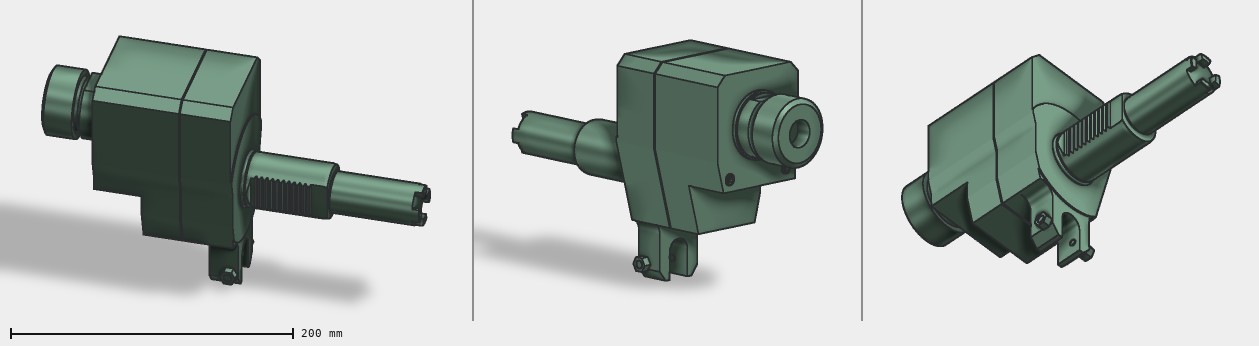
import cadquery as cq
import math


OVERALL_LENGTH = 274.71

BODY_RIGHT = -1.0
BODY_LENGTH = 101.0
BODY_LEFT = BODY_RIGHT - BODY_LENGTH
BODY_HALF_WIDTH = 40.0
BODY_TOP = 82.0
BODY_BOTTOM = -39.5
TOP_CHAMFER = 7.4
TAPER_TOP = 20.0
TAPER_ANGLE = 14.7
FLANK_HALF_WIDTH = 37.0
FLANK_BOTTOM = -18.2
TAPER_SLOPE = math.tan(math.radians(TAPER_ANGLE))
FLANK_TOP = TAPER_TOP - (BODY_HALF_WIDTH - FLANK_HALF_WIDTH) / TAPER_SLOPE
BOTTOM_FAR_Y = BODY_HALF_WIDTH - (TAPER_TOP - BODY_BOTTOM) * TAPER_SLOPE
BOTTOM_NEAR_Y = -FLANK_HALF_WIDTH + (FLANK_BOTTOM - BODY_BOTTOM) * TAPER_SLOPE
FLANK_FILLET = 9.0
STEP_LENGTH = 35.0
STEP_BOTTOM = -3.0
JOINT_X = -38.4
JOINT_WIDTH = 0.8

DISC_RADIUS = 46.0

FORK_THICKNESS = 21.2
FORK_BOTTOM = -82.0
FORK_HALF_WIDTH = 18.7
FORK_FILLET = 10.0
FORK_FILLET_DROP = 7.5
FORK_TIP_WIDTH = 6.0
FORK_TIP_HEIGHT = 7.5
FORK_SLOT_RADIUS = 8.8
FORK_SLOT_TOP = -53.2

BOLT_X = -7.3
BOLT_Z = -70.7
BOLT_HEX_FLATS = 10.0
BOLT_HEAD_END = 24.7
BOLT_STUD_RADIUS = 2.5
BOLT_STUD_END = 8.0
BOLT_RECESS_RADIUS = 2.9
BOLT_RECESS_DEPTH = 0.5

SCREW_Y = 27.8
SCREW_Z = 5.9
SCREW_HEAD_RADIUS = 4.25
SCREW_HEAD_HEIGHT = 0.8
SCREW_HEAD_CHAMFER = 0.7
SCREW_SOCKET_FLATS = 3.8
SCREW_SOCKET_DEPTH = 2.5

SPINDLE_Z = 41.5
NUT_OVERHANG = 42.2
NUT_FACE = BODY_LEFT - NUT_OVERHANG
NUT_RADIUS = 25.0
NUT_FACE_RADIUS = 21.2
NUT_CHAMFER_LENGTH = 2.2
NUT_LENGTH = 22.7
NECK_RADIUS = 19.0
NECK_CONE_RADIUS = 20.8
NECK_CONE_END = 25.2
COLLAR_START = 28.1
COLLAR_RADIUS = 23.5
COLLAR_END = 39.2
FLAT_END = 37.1
FLAT_HALF_WIDTH = 20.6
BORE_RADIUS = 10.0
BORE_DEPTH = 12.0

SHANK_RADIUS = 20.0
SHANK_LENGTH = 63.0
SHANK_CHAMFER_LENGTH = 2.8
SHANK_CHAMFER_HEIGHT = 0.5
SEAL_GROOVE_RADIUS = 19.4
SEAL_GROOVE_END = 4.0
SEAL_X = 1.5
SEAL_CENTER_RADIUS = SEAL_GROOVE_RADIUS
SEAL_SECTION_RADIUS = 1.5

CREST_Y = -16.0
ROOT_Y = -14.75
CREST_START = 7.4
RUNOUT_START = 5.2
RUNOUT_BULGE = 0.5
FIRST_ROOT_X = 11.2
TOOTH_PITCH = 4.0
TOOTH_COUNT = 10
ROOT_WIDTH = 0.3
CREST_WIDTH = 1.3
ROOT_FLAT_START = 51.3

TAIL_START = 64.4
TAIL_END = NUT_FACE + OVERALL_LENGTH
TAIL_RADIUS = 15.0
TAIL_NECK_RADIUS = 13.0
TAIL_CHAMFER = 0.5
DOG_LENGTH = 5.5
DOG_INNER_RADIUS = 10.0
DOG_HALF_ANGLE = 20.0
DOG_COUNT = 4


def prism(points, x_start, x_end):
    """Extrude a closed (y, z) outline along X."""
    return cq.Workplane("YZ", origin=(x_start, 0, 0)).polyline(points).close().extrude(x_end - x_start)


def rod(radius, x_start, x_end, y=0, z=0):
    """Cylinder along X."""
    return cq.Workplane("YZ", origin=(x_start, y, z)).circle(radius).extrude(x_end - x_start)


def turned(points, z=0):
    """Revolve an (x, radius) outline about the line Y = 0 at height z, parallel to X."""
    profile = cq.Workplane("XY", origin=(0, 0, z)).polyline(points).close()
    return profile.revolve(360, (0, 0, 0), (1, 0, 0))


def body_outline(inset=0):
    """(y, z) outline of the housing; the -Y flank turns vertical below its upper taper."""
    side = BODY_HALF_WIDTH - inset
    flank = FLANK_HALF_WIDTH - inset
    shoulder = BODY_HALF_WIDTH - TOP_CHAMFER
    top = BODY_TOP - inset
    bottom = BODY_BOTTOM + inset
    shoulder_z = BODY_TOP - TOP_CHAMFER
    return [
        (-shoulder, top),
        (shoulder, top),
        (side, shoulder_z),
        (side, TAPER_TOP),
        (BOTTOM_FAR_Y - inset, bottom),
        (BOTTOM_NEAR_Y + inset, bottom),
        (-flank, FLANK_BOTTOM),
        (-flank, FLANK_TOP),
        (-side, TAPER_TOP),
        (-side, shoulder_z),
    ]


def body_prism(x_start, x_end, inset=0):
    """Length of housing with the corner between -Y taper and flank rounded."""
    corner = cq.selectors.NearestToPointSelector(
        ((x_start + x_end) / 2, inset - FLANK_HALF_WIDTH, FLANK_TOP)
    )
    return prism(body_outline(inset), x_start, x_end).edges(corner).fillet(FLANK_FILLET)


def housing():
    """Stepped housing with a shallow groove at the joint between its two halves."""
    half_joint = JOINT_WIDTH / 2
    body = body_prism(BODY_LEFT, JOINT_X - half_joint)
    body = body.union(body_prism(JOINT_X - half_joint, JOINT_X + half_joint, half_joint))
    body = body.union(body_prism(JOINT_X + half_joint, BODY_RIGHT))
    step_height = STEP_BOTTOM - BODY_BOTTOM
    step = cq.Workplane("XY").box(
        STEP_LENGTH, 2 * BODY_HALF_WIDTH, step_height, centered=(False, True, False)
    )
    return body.cut(step.translate((BODY_LEFT, 0, BODY_BOTTOM)))


def fork(x_start, x_end):
    """Slotted plate with concave shoulders; the +Y shoulder is cut short by the housing."""
    tip = FORK_HALF_WIDTH - FORK_TIP_WIDTH
    tip_top = FORK_BOTTOM + FORK_TIP_HEIGHT
    diagonal = FORK_FILLET * math.sqrt(0.5)

    near_y = -FORK_HALF_WIDTH - FORK_FILLET
    near_z = BODY_BOTTOM - FORK_FILLET

    far_y = FORK_HALF_WIDTH + FORK_FILLET
    far_z = BODY_BOTTOM - FORK_FILLET_DROP
    far_top_angle = math.asin(FORK_FILLET_DROP / FORK_FILLET)
    far_mid_angle = far_top_angle / 2

    def far_point(angle):
        return far_y - FORK_FILLET * math.cos(angle), far_z + FORK_FILLET * math.sin(angle)

    plate = (
        cq.Workplane("YZ", origin=(x_start, 0, 0))
        .moveTo(near_y, BODY_BOTTOM)
        .threePointArc((near_y + diagonal, near_z + diagonal), (-FORK_HALF_WIDTH, near_z))
        .lineTo(-FORK_HALF_WIDTH, tip_top)
        .lineTo(-tip, FORK_BOTTOM)
        .lineTo(tip, FORK_BOTTOM)
        .lineTo(FORK_HALF_WIDTH, tip_top)
        .lineTo(FORK_HALF_WIDTH, far_z)
        .threePointArc(far_point(far_mid_angle), far_point(far_top_angle))
        .lineTo(far_point(far_top_angle)[0], FLANK_BOTTOM)
        .lineTo(near_y, FLANK_BOTTOM)
        .close()
        .extrude(x_end - x_start)
    )
    slot_center = FORK_SLOT_TOP - FORK_SLOT_RADIUS
    slot = rod(FORK_SLOT_RADIUS, x_start, x_end, 0, slot_center)
    slot = slot.union(
        prism(
            [
                (-FORK_SLOT_RADIUS, slot_center),
                (FORK_SLOT_RADIUS, slot_center),
                (FORK_SLOT_RADIUS, FORK_BOTTOM),
                (-FORK_SLOT_RADIUS, FORK_BOTTOM),
            ],
            x_start,
            x_end,
        )
    )
    return plate.cut(slot).intersect(below_flanks(x_start, x_end))


def below_flanks(x_start, x_end):
    """Keep-zone that holds the fork plate inside the housing flanks."""
    corners = [
        (BOTTOM_NEAR_Y, FLANK_BOTTOM),
        (BOTTOM_FAR_Y, FLANK_BOTTOM),
        (BOTTOM_FAR_Y, FORK_BOTTOM),
        (BOTTOM_NEAR_Y, FORK_BOTTOM),
    ]
    return prism(corners, x_start, x_end)


def fork_bolt():
    """Hex bolt through the -Y fork leg."""
    corner_diameter = BOLT_HEX_FLATS / math.cos(math.pi / 6)
    outer = cq.Workplane("XZ", origin=(BOLT_X, -BOLT_HEAD_END, BOLT_Z))
    head = outer.polygon(6, corner_diameter).extrude(FORK_HALF_WIDTH - BOLT_HEAD_END)
    stud = outer.circle(BOLT_STUD_RADIUS).extrude(BOLT_STUD_END - BOLT_HEAD_END)
    recess = outer.circle(BOLT_RECESS_RADIUS).extrude(-BOLT_RECESS_DEPTH)
    return head.union(stud).cut(recess)


def cover_screw(y):
    """Chamfered screw head standing on the housing front."""
    face = BODY_LEFT - SCREW_HEAD_HEIGHT
    head = rod(SCREW_HEAD_RADIUS, face, BODY_LEFT, y, SCREW_Z)
    return head.faces("<X").chamfer(SCREW_HEAD_CHAMFER)


def screw_socket(y):
    """Hex recess of a cover screw."""
    face = BODY_LEFT - SCREW_HEAD_HEIGHT
    corner_diameter = SCREW_SOCKET_FLATS / math.cos(math.pi / 6)
    socket = cq.Workplane("YZ", origin=(face, y, SCREW_Z)).polygon(6, corner_diameter)
    return socket.extrude(SCREW_SOCKET_DEPTH)


def spindle():
    """Collet nut, neck and flatted collar with a blind bore in the nut face."""
    nose = turned(
        [
            (NUT_FACE, 0),
            (NUT_FACE, NUT_FACE_RADIUS),
            (NUT_FACE + NUT_CHAMFER_LENGTH, NUT_RADIUS),
            (NUT_FACE + NUT_LENGTH, NUT_RADIUS),
            (NUT_FACE + NUT_LENGTH, NECK_CONE_RADIUS),
            (NUT_FACE + NECK_CONE_END, NECK_RADIUS),
            (NUT_FACE + COLLAR_START, NECK_RADIUS),
            (NUT_FACE + COLLAR_START, COLLAR_RADIUS),
            (NUT_FACE + COLLAR_END, COLLAR_RADIUS),
            (NUT_FACE + COLLAR_END, NUT_RADIUS),
            (BODY_LEFT, NUT_RADIUS),
            (BODY_LEFT, 0),
        ],
        SPINDLE_Z,
    )
    flat_height = COLLAR_RADIUS - FLAT_HALF_WIDTH
    flat_offset = FLAT_HALF_WIDTH + flat_height / 2
    cutter = cq.Workplane("XY").box(FLAT_END - COLLAR_START, 2 * COLLAR_RADIUS, flat_height)
    flat_x = NUT_FACE + (COLLAR_START + FLAT_END) / 2
    for side in (-1, 1):
        nose = nose.cut(cutter.translate((flat_x, 0, SPINDLE_Z + side * flat_offset)))
    return nose.cut(rod(BORE_RADIUS, NUT_FACE, NUT_FACE + BORE_DEPTH, 0, SPINDLE_Z))


def serration_cutter():
    """Stock removed from the -Y side: rounded run-out, crest land, teeth, then the root flat."""
    outside = -2 * SHANK_RADIUS
    runout_mid = (
        (RUNOUT_START + CREST_START) / 2 + RUNOUT_BULGE,
        (CREST_Y - SHANK_RADIUS) / 2 - RUNOUT_BULGE,
    )
    profile = (
        cq.Workplane("XY", origin=(0, 0, -SHANK_RADIUS))
        .moveTo(RUNOUT_START, outside)
        .lineTo(RUNOUT_START, -SHANK_RADIUS)
        .threePointArc(runout_mid, (CREST_START, CREST_Y))
    )
    flank_width = (TOOTH_PITCH - CREST_WIDTH - ROOT_WIDTH) / 2
    for tooth in range(TOOTH_COUNT):
        root_x = FIRST_ROOT_X + tooth * TOOTH_PITCH
        profile = (
            profile.lineTo(root_x - ROOT_WIDTH / 2 - flank_width, CREST_Y)
            .lineTo(root_x - ROOT_WIDTH / 2, ROOT_Y)
            .lineTo(root_x + ROOT_WIDTH / 2, ROOT_Y)
            .lineTo(root_x + ROOT_WIDTH / 2 + flank_width, CREST_Y)
        )
    profile = (
        profile.lineTo(ROOT_FLAT_START - flank_width, CREST_Y)
        .lineTo(ROOT_FLAT_START, ROOT_Y)
        .lineTo(SHANK_LENGTH, ROOT_Y)
        .lineTo(SHANK_LENGTH, outside)
    )
    return profile.close().extrude(2 * SHANK_RADIUS)


def shank():
    """Clamping shank with seal ring, serrated flat and the neck behind the drive tail."""
    body = turned(
        [
            (BODY_RIGHT, 0),
            (BODY_RIGHT, SEAL_GROOVE_RADIUS),
            (SEAL_GROOVE_END, SEAL_GROOVE_RADIUS),
            (SEAL_GROOVE_END, SHANK_RADIUS),
            (SHANK_LENGTH - SHANK_CHAMFER_LENGTH, SHANK_RADIUS),
            (SHANK_LENGTH, SHANK_RADIUS - SHANK_CHAMFER_HEIGHT),
            (SHANK_LENGTH, TAIL_NECK_RADIUS),
            (TAIL_START, TAIL_NECK_RADIUS),
            (TAIL_START, 0),
        ]
    )
    seal = (
        cq.Workplane("XY")
        .center(SEAL_X, SEAL_CENTER_RADIUS)
        .circle(SEAL_SECTION_RADIUS)
        .revolve(360, (0, -SEAL_CENTER_RADIUS, 0), (1, -SEAL_CENTER_RADIUS, 0))
    )
    return body.cut(serration_cutter()).union(seal)


def drive_tail():
    """Cylinder whose end face carries sector-shaped dogs on the Y and Z axes."""
    tail = rod(TAIL_RADIUS, TAIL_START, TAIL_END)
    tail = tail.faces(">X or <X").chamfer(TAIL_CHAMFER)
    dog_root = TAIL_END - DOG_LENGTH
    tail = tail.cut(rod(DOG_INNER_RADIUS, dog_root, TAIL_END))
    dog_spacing = 360 / DOG_COUNT
    gap_half_angle = dog_spacing / 2 - DOG_HALF_ANGLE
    reach = 2 * TAIL_RADIUS
    spread = reach * math.tan(math.radians(gap_half_angle))
    gap = prism([(0, 0), (reach, -spread), (reach, spread)], dog_root, TAIL_END)
    for index in range(DOG_COUNT):
        angle = (index + 0.5) * dog_spacing
        tail = tail.cut(gap.rotate((0, 0, 0), (1, 0, 0), angle))
    return tail


def seating_disc():
    """Raised face on the housing back, trimmed by the housing and fork outlines."""
    outline = body_prism(BODY_RIGHT, 0).union(fork(BODY_RIGHT, 0))
    return rod(DISC_RADIUS, BODY_RIGHT, 0).intersect(outline)


result = housing().union(fork(BODY_RIGHT - FORK_THICKNESS, BODY_RIGHT)).union(seating_disc())
bolt = fork_bolt()
result = result.union(bolt).union(bolt.mirror("XZ"))
result = result.union(spindle()).union(shank()).union(drive_tail())
for screw_y in (-SCREW_Y, SCREW_Y):
    result = result.union(cover_screw(screw_y)).cut(screw_socket(screw_y))